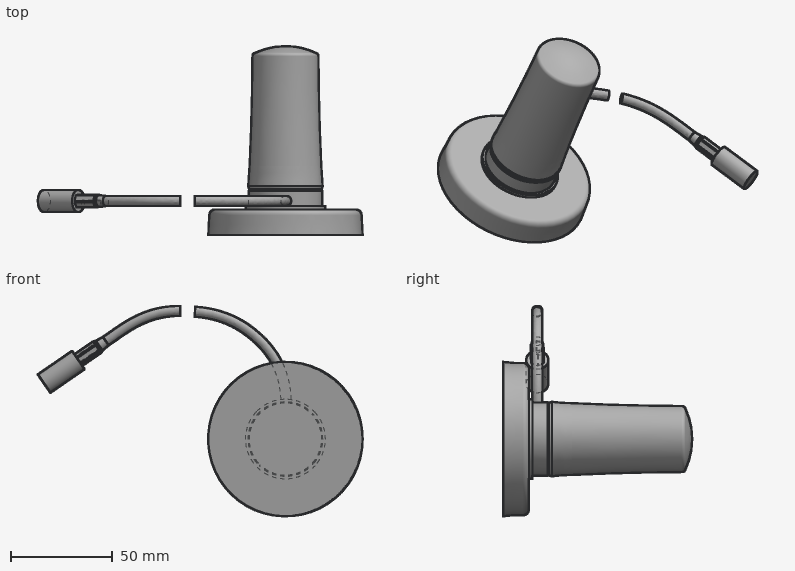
import cadquery as cq
import math


base_radius = 38.1
base_height = 12.7
base_draft = 3.0
base_edge_radius = 3.0

flange_radius = 19.65
flange_top = 14.4
collar_radius = 18.2
collar_top = 21.8
groove_radius = 17.8
groove_top = 22.6

radome_bottom_radius = 17.9
skirt_radius = 18.4
skirt_bottom = 24.1
skirt_top_radius = 17.75
skirt_top = 33.9
waist_radius = 16.75
shoulder_radius = 16.35
shoulder_height = 88.0
dome_radius = 15.2
dome_bottom = 89.7
total_height = 93.14

cable_radius = 2.55
cable_level = 16.8
cable_top = 65.64
antenna_cable_free_end = (-44.6, 62.7)
antenna_cable_middle = (-13.75, 49.65)
antenna_cable_inner_end = (0.35, 17.0)
antenna_cable_end_slope = 4.0

connector_tilt = 34.5
connector_left = -121.97
connector_face_z = 27.3
barrel_radius = 5.5
barrel_length = 20.5
hex_flats = 6.25
hex_length = 12.4
hex_taper_length = 1.2
hex_taper = 20.0
hex_corner_chamfer = 0.3
hex_turn = 6.0
ferrule_large_radius = 3.0
ferrule_length = 4.0
connector_length = barrel_length + hex_length + ferrule_length

tilt = math.radians(connector_tilt)
axis_x = math.cos(tilt)
axis_z = math.sin(tilt)
connector_face_x = connector_left + barrel_radius * axis_z
lead_start = (
    connector_face_x + connector_length * axis_x,
    connector_face_z + connector_length * axis_z,
)
lead_end = (-51.7, cable_top - cable_radius)

cable_plane = cq.Plane(origin=(0, cable_level, 0), xDir=(1, 0, 0), normal=(0, -1, 0))
connector_plane = cq.Plane(
    origin=(connector_face_x, cable_level, connector_face_z),
    xDir=(0, 1, 0),
    normal=(axis_x, 0, axis_z),
)


def revolve_about_y(profile):
    """Turn a closed half profile, drawn as (radius, height), about the Y axis."""
    return profile.close().revolve(360, (0, 0, 0), (0, 1, 0))


def make_base():
    top_radius = base_radius - base_height * math.tan(math.radians(base_draft))
    disc = revolve_about_y(
        cq.Workplane("XY")
        .lineTo(base_radius, 0)
        .lineTo(top_radius, base_height)
        .lineTo(0, base_height)
    )
    return disc.faces(">Y").edges().fillet(base_edge_radius)


def make_collar():
    return revolve_about_y(
        cq.Workplane("XY")
        .moveTo(0, base_height)
        .lineTo(flange_radius, base_height)
        .lineTo(flange_radius, flange_top)
        .lineTo(collar_radius, flange_top)
        .lineTo(collar_radius, collar_top)
        .lineTo(groove_radius, collar_top)
        .lineTo(groove_radius, groove_top)
        .lineTo(0, groove_top)
    )


def make_radome():
    dome_rise = total_height - dome_bottom
    dome_sphere = (dome_radius**2 + dome_rise**2) / (2 * dome_rise)
    return revolve_about_y(
        cq.Workplane("XY")
        .moveTo(0, groove_top)
        .lineTo(radome_bottom_radius, groove_top)
        .lineTo(skirt_radius, skirt_bottom)
        .lineTo(skirt_top_radius, skirt_top)
        .threePointArc(
            (waist_radius, (skirt_top + shoulder_height) / 2),
            (shoulder_radius, shoulder_height),
        )
        .tangentArcPoint((dome_radius, dome_bottom), relative=False)
        .radiusArc((0, total_height), -dome_sphere)
    )


def sweep_cable(path, start, direction):
    """Sweep the round cable along a path from (x, z) start in an (x, z) direction."""
    section_plane = cq.Plane(
        origin=(start[0], cable_level, start[1]),
        xDir=(0, 1, 0),
        normal=(direction[0], 0, direction[1]),
    )
    return cq.Workplane(section_plane).circle(cable_radius).sweep(path)


def make_antenna_cable(collar):
    """Curve from the free end down into the side of the collar, trimmed to its surface."""
    slope = math.radians(antenna_cable_end_slope)
    start_direction = (math.cos(slope), -math.sin(slope))
    path = cq.Workplane(cable_plane).spline(
        [antenna_cable_free_end, antenna_cable_middle, antenna_cable_inner_end],
        tangents=[start_direction, (0, -1)],
    )
    cable = sweep_cable(path, antenna_cable_free_end, start_direction)
    return cable.cut(collar)


def make_lead_cable():
    start_direction = (axis_x, axis_z)
    path = cq.Workplane(cable_plane).spline(
        [lead_start, lead_end],
        tangents=[start_direction, (1, 0)],
    )
    return sweep_cable(path, lead_start, start_direction)


def make_connector():
    """Round barrel, hexagonal crimp with a tapered end, and tapered ferrule on one axis."""
    barrel = cq.Workplane(connector_plane).circle(barrel_radius).extrude(barrel_length)
    along_axis = cq.selectors.ParallelDirSelector(connector_plane.zDir)
    cable_end = cq.selectors.DirectionMinMaxSelector(connector_plane.zDir)
    crimp = (
        cq.Workplane(connector_plane)
        .transformed(offset=(0, 0, barrel_length), rotate=(0, 0, hex_turn))
        .polygon(6, hex_flats, circumscribed=True)
        .extrude(hex_length - hex_taper_length)
        .edges(along_axis)
        .chamfer(hex_corner_chamfer)
        .faces(cable_end)
        .wires()
        .toPending()
        .workplane()
        .extrude(hex_taper_length, taper=hex_taper)
    )
    ferrule = (
        cq.Workplane(connector_plane)
        .workplane(offset=barrel_length + hex_length)
        .circle(ferrule_large_radius)
        .workplane(offset=ferrule_length)
        .circle(cable_radius)
        .loft()
    )
    return barrel.union(crimp).union(ferrule)


base = make_base()
collar = make_collar()
radome = make_radome()
antenna_cable = make_antenna_cable(collar)
lead_cable = make_lead_cable()
connector = make_connector()

bodies = [base, collar, radome, antenna_cable, lead_cable, connector]
result = cq.Compound.makeCompound([body.solids().val() for body in bodies])